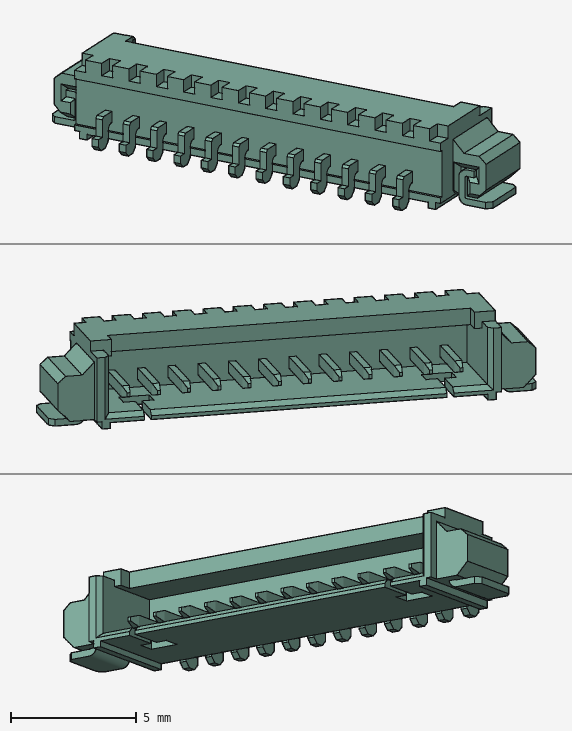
import cadquery as cq

overall_length = 20.15
pin_count = 12
pitch = 1.25

housing_length = 16.72
housing_depth = 4.21
housing_top = 3.4
housing_bottom = 0.25
end_bottom = 0.3
face_setback = 0.12
overhang_bottom = 2.52
lip_top = 0.55
step_y = 3.22
step_top = 2.98

end_wall = 0.55
cavity_front = 0.8
floor_top = 0.6
roof_bottom = 2.72
roof_edge_y = 2.64
corner_roof_length = 0.87
lead_in_depth = 0.2
lead_in_offset = 0.2

slot_width = 0.28
slot_end_y = 2.75
window_front_y = 2.02

notch_width = 0.5
notch_depth = 0.62
notch_bottom = 2.88

rail_inset = 0.22
rail_width = 0.35

pin_width = 0.3
pin_top = 1.4
pin_bottom = 0.9
pin_outer_y = -0.66
pin_inner_y = -0.18
pin_foot_y = -0.99
pin_foot_top = 0.55
pin_bend_chamfer = 0.1
pin_inner_radius = 0.22
pin_foot_chamfer = 0.22
taper_start_y = 3.06
pin_tip_y = 3.55
tip_width = 0.12
tip_height = 0.16

ear_front_y = 1.03
ear_back_y = 3.83
ear_outer_x = 9.87
ear_top = 2.2
ear_root_top = 2.7
ear_root_slope_x = 8.87
ear_top_chamfer_width = 0.32
ear_top_chamfer_height = 0.28
ear_bottom_chamfer = 0.5
mouth_depth = 0.2
mouth_offset = 0.22

tab_back_y = 3.32
tab_thickness = 0.28
tab_inner_x = 8.62
tab_top = 1.51
tab_arm_x = 9.33
tab_bend_radius = 0.36
tab_corner_chamfer = 0.22

half_housing = housing_length / 2
half_cavity = half_housing - end_wall
half_roof_opening = half_housing - corner_roof_length
first_pin_x = -pitch * (pin_count - 1) / 2
pin_middle_z = (pin_top + pin_bottom) / 2
slot_x = pitch * (pin_count - 2) / 2


def block(x0, x1, y0, y1, z0, z1):
    """Box given by its two limits along each axis."""
    return cq.Workplane("XY").box(x1 - x0, y1 - y0, z1 - z0, centered=False).translate((x0, y0, z0))


def loft_along_y(y0, points0, y1, points1):
    """Loft between two (x, z) polygons lying at y0 and y1."""
    wires = []
    for y, points in ((y0, points0), (y1, points1)):
        wires.append(cq.Wire.makePolygon([cq.Vector(x, y, z) for x, z in points], close=True))
    return cq.Workplane(cq.Solid.makeLoft(wires, True))


def extrude_along_y(profile, y0, y1):
    """Extrude a closed XZ profile from y0 to y1."""
    return profile.extrude(y0 - y1).translate((0, y0, 0))


def rectangle(half_width, bottom, top):
    """Corners of an (x, z) rectangle centred on x = 0."""
    return [(-half_width, bottom), (half_width, bottom), (half_width, top), (-half_width, top)]


def make_shell():
    """Outer housing block with overhang, lip, lowered mating edge and rails."""
    profile = [
        (0, housing_bottom),
        (housing_depth, housing_bottom),
        (housing_depth, step_top),
        (step_y, step_top),
        (step_y, housing_top),
        (0, housing_top),
        (0, overhang_bottom),
        (face_setback, overhang_bottom),
        (face_setback, lip_top),
        (0, lip_top),
    ]
    shell = cq.Workplane("YZ").polyline(profile).close().extrude(half_housing, both=True)
    for side in (-1, 1):
        outer = side * half_housing
        rail_outer = outer - side * rail_inset
        rail_inner = rail_outer - side * rail_width
        low, high = sorted((outer, rail_outer))
        shell = shell.cut(block(low, high, 0, housing_depth, housing_bottom, end_bottom))
        low, high = sorted((rail_outer, rail_inner))
        shell = shell.union(block(low, high, 0, housing_depth, 0, end_bottom))
    return shell


def cut_cavity(body):
    """Mating cavity, its opening through the roof and the lead-in at its mouth."""
    body = body.cut(block(-half_cavity, half_cavity, cavity_front, housing_depth, floor_top, roof_bottom))
    body = body.cut(block(-half_cavity, half_cavity, step_y, housing_depth, floor_top, housing_top))
    body = body.cut(
        block(-half_roof_opening, half_roof_opening, roof_edge_y, housing_depth, floor_top, housing_top)
    )
    lead_in = loft_along_y(
        housing_depth - lead_in_depth,
        rectangle(half_cavity, floor_top, housing_top),
        housing_depth,
        rectangle(half_cavity + lead_in_offset, floor_top - lead_in_offset, housing_top),
    )
    return body.cut(lead_in)


def cut_floor_slots(body):
    """Narrow slots from the mating edge, each ending in a window one pitch wide."""
    for x in (-slot_x, slot_x):
        half_slot = slot_width / 2
        half_window = pitch / 2
        body = body.cut(block(x - half_slot, x + half_slot, window_front_y, housing_depth, 0, floor_top))
        body = body.cut(block(x - half_window, x + half_window, window_front_y, slot_end_y, 0, floor_top))
    return body


def cut_notches(body):
    """Notches along the top front edge: one above each pin and one at each end."""
    for index in range(-1, pin_count + 1):
        left = first_pin_x + index * pitch - notch_width / 2
        body = body.cut(block(left, left + notch_width, 0, notch_depth, notch_bottom, housing_top))
    return body


def make_pin():
    """One pin centred on x = 0: straight contact, tapered tip and bent solder foot."""
    lead = (
        cq.Workplane("YZ")
        .moveTo(taper_start_y, pin_top)
        .lineTo(pin_outer_y + pin_bend_chamfer, pin_top)
        .lineTo(pin_outer_y, pin_top - pin_bend_chamfer)
        .lineTo(pin_outer_y, pin_foot_top)
        .lineTo(pin_foot_y, pin_foot_top)
        .lineTo(pin_foot_y, pin_foot_chamfer)
        .lineTo(pin_foot_y + pin_foot_chamfer, 0)
        .lineTo(pin_inner_y - pin_foot_chamfer, 0)
        .lineTo(pin_inner_y, pin_foot_chamfer)
        .lineTo(pin_inner_y, pin_bottom - pin_inner_radius)
        .radiusArc((pin_inner_y + pin_inner_radius, pin_bottom), pin_inner_radius)
        .lineTo(taper_start_y, pin_bottom)
        .close()
        .extrude(pin_width / 2, both=True)
    )
    tip = loft_along_y(
        taper_start_y,
        rectangle(pin_width / 2, pin_bottom, pin_top),
        pin_tip_y,
        rectangle(tip_width / 2, pin_middle_z - tip_height / 2, pin_middle_z + tip_height / 2),
    )
    return lead.union(tip)


def make_ear():
    """Ear on the +X end with a flared mouth around the solder tab."""
    outline = [
        (half_housing, end_bottom),
        (half_housing, ear_root_top),
        (ear_root_slope_x, ear_top),
        (ear_outer_x - ear_top_chamfer_width, ear_top),
        (ear_outer_x, ear_top - ear_top_chamfer_height),
        (ear_outer_x, end_bottom + ear_bottom_chamfer),
        (ear_outer_x - ear_bottom_chamfer, end_bottom),
    ]
    ear = extrude_along_y(cq.Workplane("XZ").polyline(outline).close(), ear_front_y, ear_back_y)

    def mouth_outline(offset):
        inner_x = tab_inner_x - offset
        leg_x = tab_inner_x + tab_thickness + offset
        arm_x = tab_arm_x + offset
        arm_top = tab_top + offset
        arm_bottom = tab_top - tab_thickness - offset
        return [
            (inner_x, end_bottom),
            (inner_x, arm_top),
            (arm_x, arm_top),
            (arm_x, arm_bottom),
            (leg_x, arm_bottom),
            (leg_x, end_bottom),
        ]

    mouth = loft_along_y(
        ear_front_y, mouth_outline(mouth_offset), ear_front_y + mouth_depth, mouth_outline(0)
    )
    bevel = (
        cq.Workplane("YZ", origin=(half_housing, 0, 0))
        .moveTo(ear_front_y, end_bottom)
        .lineTo(ear_front_y, end_bottom + mouth_offset)
        .lineTo(ear_front_y + mouth_depth, end_bottom)
        .close()
        .extrude(ear_outer_x - half_housing)
    )
    return ear.cut(mouth).cut(bevel)


def make_tab():
    """Solder tab on the +X end: upper arm, upright leg and flat foot."""
    foot_tip_x = overall_length / 2
    leg_outer_x = tab_inner_x + tab_thickness
    inside_radius = tab_bend_radius - tab_thickness
    arm_bottom = tab_top - tab_thickness
    profile = (
        cq.Workplane("XZ")
        .moveTo(tab_arm_x, tab_top)
        .lineTo(tab_inner_x + tab_bend_radius, tab_top)
        .radiusArc((tab_inner_x, tab_top - tab_bend_radius), -tab_bend_radius)
        .lineTo(tab_inner_x, tab_bend_radius)
        .radiusArc((tab_inner_x + tab_bend_radius, 0), -tab_bend_radius)
        .lineTo(foot_tip_x, 0)
        .lineTo(foot_tip_x, tab_thickness)
        .lineTo(leg_outer_x + inside_radius, tab_thickness)
        .radiusArc((leg_outer_x, tab_thickness + inside_radius), inside_radius)
        .lineTo(leg_outer_x, arm_bottom - inside_radius)
        .radiusArc((leg_outer_x + inside_radius, arm_bottom), inside_radius)
        .lineTo(tab_arm_x, arm_bottom)
        .close()
    )
    tab = extrude_along_y(profile, ear_front_y, tab_back_y)
    return tab.faces(">X").edges("|Z").chamfer(tab_corner_chamfer)


result = make_shell()
result = cut_cavity(result)
result = cut_floor_slots(result)
result = cut_notches(result)

pin = make_pin()
for index in range(pin_count):
    result = result.union(pin.translate((first_pin_x + index * pitch, 0, 0)))

holder = make_ear().union(make_tab())
result = result.union(holder).union(holder.mirror("YZ"))